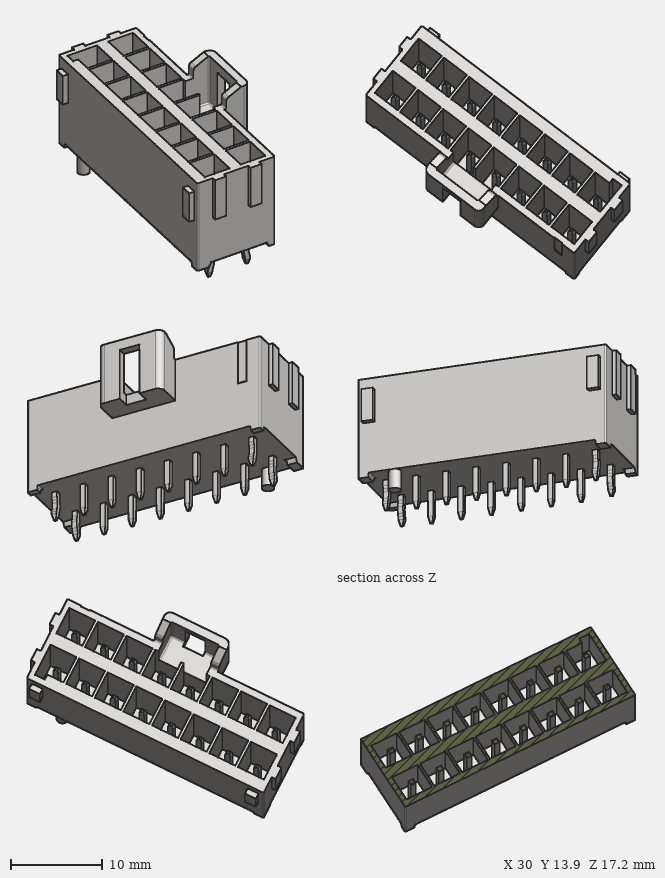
import cadquery as cq


TOTAL_LENGTH = 30.0
END_RIB_DEPTH = 0.48
BODY_LENGTH = TOTAL_LENGTH - 2 * END_RIB_DEPTH
BODY_WIDTH = 10.0
BODY_HEIGHT = 11.7
BODY_CORNER_RADIUS = 0.15
BACK_Y = BODY_WIDTH / 2
FRONT_Y = -BODY_WIDTH / 2

GROOVE_EDGE_GAP = 1.7
GROOVE_LENGTH = 1.08
GROOVE_DEPTH = 0.1

RELIEF_HEIGHT = 0.55
FOOT_LENGTH = 1.2
BACK_FOOT_WIDTH = 0.78
FRONT_FOOT_WIDTH = 1.5
BACK_FOOT_FLARE = 0.2
FRONT_FOOT_FLARE = 0.3
FOOT_CORNER_RADIUS = 0.2

RAISED_BOTTOM_Z = 6.45
END_RIB_WIDTH = 1.45
END_RIB_Y = 2.28
PAD_WIDTH = 1.32
PAD_DEPTH = 0.65
PAD_TOP_Z = 10.25
PAD_EDGE_GAP = 0.63

COLUMNS = 8
COLUMN_PITCH = 3.5
ROW_PITCH = 4.62
ROW_SHIFT = 0.27
COLUMN_XS = [COLUMN_PITCH * (i - (COLUMNS - 1) / 2) for i in range(COLUMNS)]
FRONT_ROW_Y = ROW_SHIFT - ROW_PITCH / 2
BACK_ROW_Y = ROW_SHIFT + ROW_PITCH / 2

CAVITY_LENGTH = 3.18
CAVITY_WIDTH = 3.18
CAVITY_FLOOR_Z = 1.8
KEY_LENGTH = 1.2
KEY_DEPTH = 0.63

PIN_SIZE = 0.63
PIN_TIP_SIZE = 0.27
PIN_TOP_Z = 9.0
PIN_TOP_TAPER = 0.6
PIN_TAPER_Z = -2.45
PIN_BOTTOM_Z = -3.25
KINK_OFFSET = 0.12
KINK_START_Z = -0.27
KINK_INNER_Z = -1.23
KINK_OUTER_Z = -2.13
KINK_START_RADIUS = 3.0
KINK_INNER_RADIUS = 2.1
KINK_OUTER_RADIUS = 1.2
KINKED_TAPER_Z = -2.3
KINKED_BOTTOM_Z = -3.0

PEG_DIAMETER = 1.4
PEG_BOTTOM_Z = -1.7
PEG_X = -10.47

LATCH_LENGTH = 7.85
LATCH_DEPTH = 3.27
LATCH_TOP_Z = 13.95
LATCH_BACK_Y = BACK_Y + LATCH_DEPTH
LATCH_WALL = 1.0
LATCH_CORNER_RADIUS = 0.75
LATCH_FLAT_DEPTH = 1.1
ARM_SHOULDER_Z = 13.02
ARM_GAP = 0.25
ARM_SHOULDER_RADIUS = 0.55
ARM_ROOT_RADIUS = 0.15
POCKET_FLOOR_Z = 7.75
POCKET_FILLET = 0.18
WINDOW_LENGTH = 2.45
WINDOW_TOP_Z = 12.7
WINDOW_FLOOR_NOTCH = 0.55


def block(x0, x1, y0, y1, z0, z1):
    """Box between two opposite corners."""
    return cq.Workplane("XY").box(x1 - x0, y1 - y0, z1 - z0, centered=False).translate((x0, y0, z0))


def block_at(x, y, length, width, z0, z1):
    """Box centred on (x, y)."""
    return block(x - length / 2, x + length / 2, y - width / 2, y + width / 2, z0, z1)


def square_taper(x, y, z0, size0, z1, size1):
    """Square frustum from one level to another."""
    return (
        cq.Workplane("XY", origin=(x, y, z0))
        .rect(size0, size0)
        .workplane(offset=z1 - z0)
        .rect(size1, size1)
        .loft(combine=True)
    )


def housing():
    """Outer block standing on four corner feet."""
    body = block_at(0, 0, BODY_LENGTH, BODY_WIDTH, 0, BODY_HEIGHT).edges("|Z").fillet(BODY_CORNER_RADIUS)
    lengthwise_relief = (
        cq.Workplane("YZ")
        .polyline(
            [
                (FRONT_Y + FRONT_FOOT_WIDTH, 0),
                (BACK_Y - BACK_FOOT_WIDTH, 0),
                (BACK_Y - BACK_FOOT_WIDTH - BACK_FOOT_FLARE, RELIEF_HEIGHT),
                (FRONT_Y + FRONT_FOOT_WIDTH + FRONT_FOOT_FLARE, RELIEF_HEIGHT),
            ]
        )
        .close()
        .extrude(BODY_LENGTH / 2, both=True)
    )
    crosswise_relief = (
        block_at(0, 0, BODY_LENGTH - 2 * FOOT_LENGTH, BODY_WIDTH, 0, RELIEF_HEIGHT)
        .edges("|Y and >Z")
        .fillet(FOOT_CORNER_RADIUS)
    )
    return body.cut(lengthwise_relief).cut(crosswise_relief).cut(back_groove())


def back_groove():
    """Shallow vertical groove from the top of the back wall, ending level with the latch."""
    groove_x = GROOVE_EDGE_GAP - BODY_LENGTH / 2
    floor_y = BACK_Y - GROOVE_DEPTH
    return block(groove_x, groove_x + GROOVE_LENGTH, floor_y, BACK_Y, RAISED_BOTTOM_Z, BODY_HEIGHT)


def end_ribs():
    """Two ribs on each end wall; each bar runs through the housing from end to end."""
    ribs = cq.Workplane("XY")
    for y in (-END_RIB_Y, END_RIB_Y):
        ribs = ribs.add(block_at(0, y, TOTAL_LENGTH, END_RIB_WIDTH, RAISED_BOTTOM_Z, BODY_HEIGHT))
    return ribs.combine()


def front_pads():
    """Two pads near the ends of the front wall."""
    pads = cq.Workplane("XY")
    pad_x = BODY_LENGTH / 2 - PAD_EDGE_GAP - PAD_WIDTH / 2
    pad_y = FRONT_Y - PAD_DEPTH / 2
    for x in (-pad_x, pad_x):
        pads = pads.add(block_at(x, pad_y, PAD_WIDTH, PAD_DEPTH, RAISED_BOTTOM_Z, PAD_TOP_Z))
    return pads.combine()


def latch_loop():
    """U-shaped loop with sloping arm tops, still solid inside."""
    arm_y = BACK_Y + ARM_GAP
    loop = (
        cq.Workplane("YZ")
        .polyline(
            [
                (BACK_Y, RAISED_BOTTOM_Z),
                (LATCH_BACK_Y, RAISED_BOTTOM_Z),
                (LATCH_BACK_Y, LATCH_TOP_Z),
                (LATCH_BACK_Y - LATCH_FLAT_DEPTH, LATCH_TOP_Z),
                (arm_y, ARM_SHOULDER_Z),
                (arm_y, BODY_HEIGHT),
                (BACK_Y, BODY_HEIGHT),
            ]
        )
        .close()
        .extrude(LATCH_LENGTH / 2, both=True)
    )
    loop = loop.edges(cq.NearestToPointSelector((0, arm_y, ARM_SHOULDER_Z))).fillet(ARM_SHOULDER_RADIUS)
    loop = loop.edges(cq.NearestToPointSelector((0, arm_y, BODY_HEIGHT))).fillet(ARM_ROOT_RADIUS)
    return loop.edges("|Z and >Y").fillet(LATCH_CORNER_RADIUS)


def latch_pocket():
    """Opening inside the loop, reaching forward through the back wall into the cavities."""
    pocket = block(
        -LATCH_LENGTH / 2 + LATCH_WALL,
        LATCH_LENGTH / 2 - LATCH_WALL,
        BACK_ROW_Y + CAVITY_WIDTH / 2,
        LATCH_BACK_Y - LATCH_WALL,
        POCKET_FLOOR_Z,
        LATCH_TOP_Z,
    )
    return pocket.edges("(|Z and >Y) or (|X and >Y and <Z) or (|Y and <Z)").fillet(POCKET_FILLET)


def latch_window():
    """Slot through the loop's back wall and a strip of the pocket floor."""
    notch_y = LATCH_BACK_Y - LATCH_WALL - WINDOW_FLOOR_NOTCH
    return block(-WINDOW_LENGTH / 2, WINDOW_LENGTH / 2, notch_y, LATCH_BACK_Y, RAISED_BOTTOM_Z, WINDOW_TOP_Z)


def cavities():
    """One cavity per contact, with a keying notch in the first of the front row."""
    cells = cq.Workplane("XY")
    for y in (FRONT_ROW_Y, BACK_ROW_Y):
        for x in COLUMN_XS:
            cells = cells.add(block_at(x, y, CAVITY_LENGTH, CAVITY_WIDTH, CAVITY_FLOOR_Z, BODY_HEIGHT))
    key_x = COLUMN_XS[0] - CAVITY_LENGTH / 2
    key_y = FRONT_ROW_Y - CAVITY_WIDTH / 2
    key = block(key_x, key_x + KEY_LENGTH, key_y - KEY_DEPTH, key_y, CAVITY_FLOOR_Z, BODY_HEIGHT)
    return cells.add(key).combine()


def pin_blade(x, y):
    """Tapered upper part of a pin, down to the underside of the feet."""
    taper_z = PIN_TOP_Z - PIN_TOP_TAPER
    blade = block_at(x, y, PIN_SIZE, PIN_SIZE, 0, taper_z)
    return blade.union(square_taper(x, y, taper_z, PIN_SIZE, PIN_TOP_Z, PIN_TIP_SIZE))


def straight_tail(x, y):
    """Solder tail with a tapered tip."""
    tail = block_at(x, y, PIN_SIZE, PIN_SIZE, PIN_TAPER_Z, 0)
    return tail.union(square_taper(x, y, PIN_TAPER_Z, PIN_SIZE, PIN_BOTTOM_Z, PIN_TIP_SIZE))


def kinked_tail(x, y, inward):
    """Solder tail bent towards the other row (inward is +1 or -1 along Y), then away from it."""
    inner_y = y + inward * KINK_OFFSET
    outer_y = y - inward * KINK_OFFSET
    bends = [
        (y, KINK_START_Z, KINK_START_RADIUS),
        (inner_y, KINK_INNER_Z, KINK_INNER_RADIUS),
        (outer_y, KINK_OUTER_Z, KINK_OUTER_RADIUS),
    ]
    centre_line = [(y, 0)] + [(bend_y, bend_z) for bend_y, bend_z, _ in bends] + [(outer_y, KINKED_TAPER_Z)]
    front_side = [(cy - PIN_SIZE / 2, cz) for cy, cz in centre_line]
    back_side = [(cy + PIN_SIZE / 2, cz) for cy, cz in reversed(centre_line)]
    tail = (
        cq.Workplane("YZ", origin=(x, 0, 0))
        .polyline(front_side + back_side)
        .close()
        .extrude(PIN_SIZE / 2, both=True)
    )
    for bend_y, bend_z, bend_radius in bends:
        for side in (-PIN_SIZE / 2, PIN_SIZE / 2):
            bend_edge = cq.NearestToPointSelector((x, bend_y + side, bend_z))
            tail = tail.edges(bend_edge).fillet(bend_radius)
    tip = square_taper(x, outer_y, KINKED_TAPER_Z, PIN_SIZE, KINKED_BOTTOM_Z, PIN_TIP_SIZE)
    return tail.union(tip)


def pin(x, y, inward):
    """Complete pin; the end columns have kinked tails that hold the part in its board."""
    if x in (COLUMN_XS[0], COLUMN_XS[-1]):
        return pin_blade(x, y).union(kinked_tail(x, y, inward))
    return pin_blade(x, y).union(straight_tail(x, y))


def peg():
    """Round locating peg, flush with the front wall."""
    peg_y = FRONT_Y + PEG_DIAMETER / 2
    return (
        cq.Workplane("XY", origin=(PEG_X, peg_y, PEG_BOTTOM_Z))
        .circle(PEG_DIAMETER / 2)
        .extrude(RELIEF_HEIGHT - PEG_BOTTOM_Z)
    )


result = housing().union(end_ribs()).union(front_pads()).union(latch_loop()).union(peg())
result = result.cut(latch_pocket()).cut(latch_window()).cut(cavities())
for pin_x in COLUMN_XS:
    result = result.union(pin(pin_x, FRONT_ROW_Y, 1)).union(pin(pin_x, BACK_ROW_Y, -1))